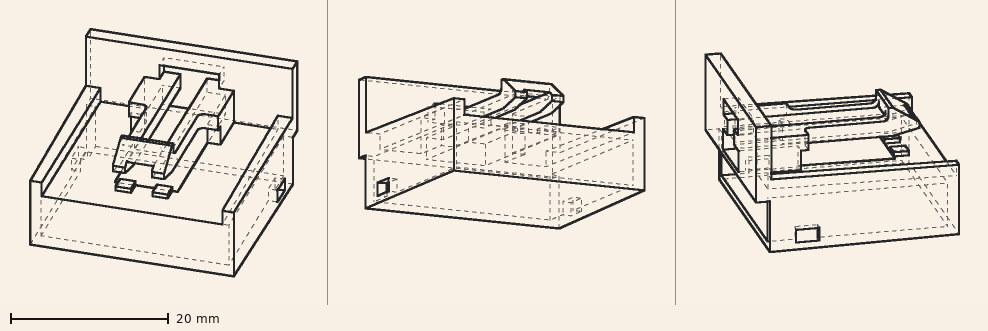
import cadquery as cq
import math


width = 27.4
height = 17.0
plate_thickness = 2.0
plate_bottom = 6.85

body_length = 24.5
body_back = 0.2
draft_angle = 0.5
draft = body_length * math.tan(math.radians(draft_angle))
rail_top = 9.8
rail_width = 1.95
floor_top = 7.8
wall = 1.25
base_thickness = 1.0

side_window_back = -3.2
side_window_front = -6.3
side_window_height = 1.7
side_window_slant = 0.2

arm_bottom = 10.4
arm_top = 12.45
arm_outer = 3.4
arm_inner = 1.77
root_outer = 5.92
root_length = 6.7
root_fillet = 0.8
pick_margin = 0.1
foot_length = 5.75
foot_inner = 4.17

head_back = -17.75
head_crest = -18.33
head_tip = -21.75
head_top = 14.2
tip_top = 12.0
tip_bottom = 11.2
head_fillet = 0.8

recess_length = 18.4
recess_floor = floor_top - draft
pad_inner = 1.42
pad_outer = 3.46
pad_length = 2.0
pad_top = 8.2
window_half_width = 3.96
window_top = 14.5


def block(x0, x1, y0, y1, z0, z1):
    """Box between two opposite corners."""
    return cq.Workplane("XY").box(x1 - x0, y1 - y0, z1 - z0, centered=False).translate((x0, y0, z0))


def body_section(y, inset):
    """U-shaped housing section at depth y, drawn in by inset on every side."""
    outer = width / 2 - inset
    inner = width / 2 - rail_width + inset
    corners = [
        (-outer, inset),
        (outer, inset),
        (outer, rail_top - inset),
        (inner, rail_top - inset),
        (inner, floor_top - inset),
        (-inner, floor_top - inset),
        (-inner, rail_top - inset),
        (-outer, rail_top - inset),
    ]
    return cq.Wire.makePolygon([cq.Vector(x, y, z) for x, z in corners], close=True)


def make_plate():
    return block(-width / 2, width / 2, 0, plate_thickness, plate_bottom, height)


def make_housing():
    """Drafted housing, hollow and open at the back."""
    back = cq.Solid.makeLoft([body_section(body_back, 0), body_section(0, 0)], True)
    front = cq.Solid.makeLoft([body_section(0, 0), body_section(-body_length, draft)], True)
    cavity_half = width / 2 - wall
    cavity = block(-cavity_half, cavity_half, wall - body_length, body_back, base_thickness, plate_bottom)
    return cq.Workplane(back).union(cq.Workplane(front)).cut(cavity)


def make_side_window(side):
    """Cutter for one side window; its rear jamb leans forward going inward."""
    outside = side * width / 2
    inside = side * (width / 2 - wall)
    return (
        cq.Workplane("XY")
        .workplane(offset=base_thickness)
        .moveTo(outside, side_window_front)
        .lineTo(outside, side_window_back)
        .lineTo(inside, side_window_back - side_window_slant)
        .lineTo(inside, side_window_front)
        .close()
        .extrude(side_window_height)
    )


def make_arms():
    """Arms in side profile with the barbed head, split by the channel between them."""
    diagonal = head_fillet * math.sqrt(0.5)
    profile = (
        cq.Workplane("YZ")
        .moveTo(plate_thickness, arm_bottom)
        .lineTo(plate_thickness, arm_top)
        .lineTo(head_back + head_fillet, arm_top)
        .threePointArc(
            (head_back + head_fillet - diagonal, arm_top + head_fillet - diagonal),
            (head_back, arm_top + head_fillet),
        )
        .lineTo(head_back, head_top)
        .lineTo(head_crest, head_top)
        .lineTo(head_tip, tip_top)
        .lineTo(head_tip, tip_bottom)
        .lineTo(head_crest, arm_bottom)
        .close()
        .extrude(arm_outer, both=True)
    )
    root = block(-root_outer, root_outer, -root_length, plate_thickness, arm_bottom, arm_top)
    channel = block(-arm_inner, arm_inner, head_tip, plate_thickness, arm_bottom, arm_top)
    fillet_gap = block(-arm_inner, arm_inner, head_back, plate_thickness, arm_bottom, head_top)
    arms = profile.union(root)
    corners = cq.selectors.BoxSelector(
        (-arm_outer - pick_margin, -root_length - pick_margin, arm_bottom),
        (arm_outer + pick_margin, -root_length + pick_margin, arm_top),
    )
    return arms.edges("|Z").edges(corners).fillet(root_fillet).cut(channel).cut(fillet_gap)


def make_foot(side):
    """Post that carries one arm root above the housing floor."""
    x0, x1 = sorted((side * foot_inner, side * root_outer))
    return block(x0, x1, -foot_length, plate_thickness, recess_floor, arm_bottom)


def make_pad(side):
    """Stop pad just ahead of the recess."""
    x0, x1 = sorted((side * pad_inner, side * pad_outer))
    return block(x0, x1, -recess_length - pad_length, -recess_length, recess_floor, pad_top)


recess = block(-foot_inner, foot_inner, -recess_length, plate_thickness, recess_floor, arm_bottom)
window = block(-window_half_width, window_half_width, 0, plate_thickness, arm_bottom, window_top)

result = make_plate().union(make_housing()).cut(recess).cut(window).union(make_arms())
for side in (-1, 1):
    result = result.union(make_foot(side)).union(make_pad(side)).cut(make_side_window(side))